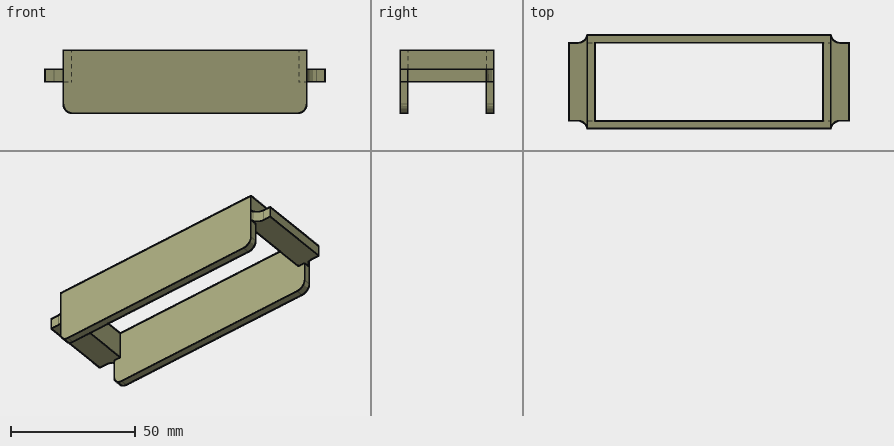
import cadquery as cq
import math

overall_length = 112.47
frame_width = 37.69
frame_height = 25.4

frame_length = 97.79
wall = 3.175
end_wall_height = 12.7
side_corner_radius = 3.81
inner_length = frame_length - 2 * wall
inner_width = frame_width - 2 * wall
end_wall_bottom = frame_height - end_wall_height

tab_thickness = 5.08
tab_width = inner_width
tab_flare_radius = 3.81


def make_side_wall(y_start):
    """Full-height long wall with rounded lower corners."""
    return (
        cq.Workplane("XY", origin=(0, y_start, 0))
        .box(frame_length, wall, frame_height, centered=(True, False, False))
        .edges("|Y and <Z")
        .fillet(side_corner_radius)
    )


def make_upper_ring():
    """Rectangular ring whose short sides close the upper part of the frame."""
    return (
        cq.Workplane("XY", origin=(0, 0, end_wall_bottom))
        .rect(frame_length, frame_width)
        .rect(inner_length, inner_width)
        .extrude(end_wall_height)
    )


def make_tab(direction):
    """End tab on the +X (1) or -X (-1) end, flaring to the full frame width at its root.

    Each flare is a concave arc that leaves the tab edge tangentially and
    meets the end wall at the outer corner of the frame.
    """
    half_root = frame_width / 2
    half_tab = tab_width / 2
    flare_rise = half_root - half_tab
    flare_angle = math.acos(1 - flare_rise / tab_flare_radius)
    flare_length = tab_flare_radius * math.sin(flare_angle)

    root_x = direction * frame_length / 2
    flare_x = root_x + direction * flare_length
    tip_x = direction * overall_length / 2
    arc_mid_x = flare_x - direction * tab_flare_radius * math.sin(flare_angle / 2)
    arc_mid_y = half_tab + tab_flare_radius * (1 - math.cos(flare_angle / 2))

    return (
        cq.Workplane("XY", origin=(0, 0, end_wall_bottom))
        .moveTo(root_x, -half_root)
        .threePointArc((arc_mid_x, -arc_mid_y), (flare_x, -half_tab))
        .lineTo(tip_x, -half_tab)
        .lineTo(tip_x, half_tab)
        .lineTo(flare_x, half_tab)
        .threePointArc((arc_mid_x, arc_mid_y), (root_x, half_root))
        .close()
        .extrude(tab_thickness)
    )


result = make_upper_ring()
for wall_start in (-frame_width / 2, inner_width / 2):
    result = result.union(make_side_wall(wall_start))
for end in (-1, 1):
    result = result.union(make_tab(end))